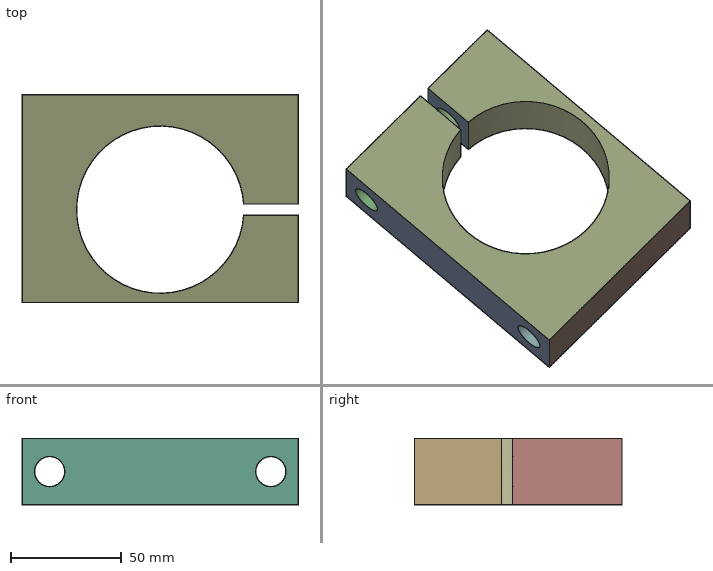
import cadquery as cq

length = 125.0
width = 94.0
height = 30.0

bore_diameter = 75.5
bore_y = -5.0

slit_width = 5.0

bolt_diameter = 13.5
bolt_spacing = 100.0


def make_block():
    return cq.Workplane("XY").box(length, width, height)


def make_bore():
    return cq.Workplane("XY").center(0, bore_y).circle(bore_diameter / 2).extrude(height / 2, both=True)


def make_slit():
    slit_length = length / 2
    return cq.Workplane("XY").box(slit_length, slit_width, height).translate((slit_length / 2, bore_y, 0))


def make_bolt_holes():
    return (
        cq.Workplane("XZ")
        .rarray(bolt_spacing, 1.2, 2, 1)
        .circle(bolt_diameter / 2)
        .extrude(width / 2, both=True)
    )


result = make_block().cut(make_bore()).cut(make_slit()).cut(make_bolt_holes())